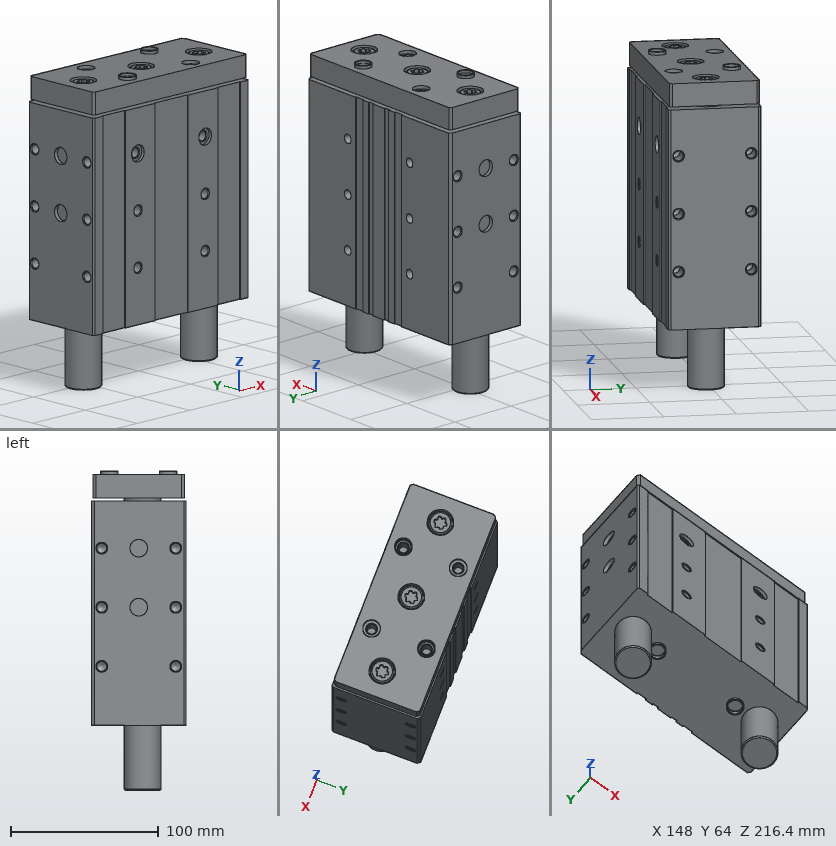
import cadquery as cq
import math


housing_length = 148.0
housing_depth = 64.0
housing_height = 152.0
housing_front_corner = (1.0, 1.5)
housing_rear_corner = (1.7, 2.2)
step_depth = 0.9
front_inner_step = 15.8
front_middle_step = 44.1
front_outer_step = 65.5
rear_slots = [(5.8, 10.4), (16.2, 23.8)]

row_pitch = 40.0
row_count = 3
first_row_drop = 32.0
first_row_z = housing_height - first_row_drop
row_heights = [first_row_z - row * row_pitch for row in range(row_count)]
thread_diameter = 6.7
thread_bevel = 0.6
drill_angle = 118.0
front_hole_x = 32.0
front_recess_diameter = 12.0
front_recess_depth = 2.4
side_hole_y = 25.0
side_hole_depth = 13.0
port_count = 2
port_diameter = 12.0
port_depth = 2.8

rod_y = -2.5
guide_rod_x = 55.0
guide_rod_diameter = 25.0
guide_rod_overhang = 44.0
guide_rod_chamfer = 0.9
piston_rod_diameter = 14.7
piston_rod_reach = 86.5
piston_rod_end = housing_height - piston_rod_reach

plate_gap = 2.0
plate_length = 146.2
plate_depth = 62.0
plate_height = 16.0
plate_corner = (1.5, 2.0)
plate_z = housing_height + plate_gap
plate_top = plate_z + plate_height
plate_hole_x = 30.0
plate_hole_y = 20.0

screw_recess_diameter = 18.0
screw_head_diameter = 16.0
screw_recess_depth = 8.7
screw_head_height = 7.8
screw_head_chamfer = 1.0
socket_tip_diameter = 9.0
socket_root_diameter = 6.7
socket_lobe_width = 2.5
socket_lobe_angles = (30, 90, 150)
socket_depth = 3.2

sleeve_diameter = 12.0
sleeve_bore = 10.4
sleeve_chamfer = 0.32
sleeve_protrusion = 2.4
sleeve_seat = 2.4
sleeve_length = sleeve_seat + sleeve_protrusion
bottom_sleeve_x = 33.7


def cylinder(diameter, bottom, top, x=0.0, y=0.0):
    return cq.Workplane("XY", origin=(x, y, bottom)).circle(diameter / 2).extrude(top - bottom)


def threaded_hole(depth):
    """Tool for a hole down from Z = 0 with a bevelled mouth and a flat end."""
    mouth_radius = thread_diameter / 2 + thread_bevel
    bevel = cq.Solid.makeCone(mouth_radius, thread_diameter / 2, thread_bevel, dir=cq.Vector(0, 0, -1))
    return cylinder(thread_diameter, -depth, 0).union(cq.Workplane(bevel))


def blind_threaded_hole(depth):
    """The same tool with the cone of a drill at its end."""
    radius = thread_diameter / 2
    tip_length = radius / math.tan(math.radians(drill_angle / 2))
    tip = cq.Solid.makeCone(radius, 0, tip_length, cq.Vector(0, 0, -depth), cq.Vector(0, 0, -1))
    return threaded_hole(depth).union(cq.Workplane(tip))


def on_front(tool, x, z):
    """Turn a tool that cuts down from Z = 0 so that it cuts into the front face."""
    return tool.rotate((0, 0, 0), (1, 0, 0), 90).translate((x, -housing_depth / 2, z))


def on_left_side(tool, y, z):
    """Turn a tool that cuts down from Z = 0 so that it cuts into the -X side."""
    return tool.rotate((0, 0, 0), (0, 1, 0), -90).translate((-housing_length / 2, y, z))


def chamfered_block(length, depth, height, front_corner, rear_corner):
    """Block standing on Z = 0, centred in X and Y, with its upright edges chamfered."""
    side = length / 2
    face = depth / 2
    front_x, front_y = front_corner
    rear_x, rear_y = rear_corner
    profile = [
        (-side, front_y - face),
        (front_x - side, -face),
        (side - front_x, -face),
        (side, front_y - face),
        (side, face - rear_y),
        (side - rear_x, face),
        (rear_x - side, face),
        (-side, face - rear_y),
    ]
    return cq.Workplane("XY").polyline(profile).close().extrude(height)


def housing_blank():
    """Housing block with its stepped front and slotted rear."""
    blank = chamfered_block(
        housing_length, housing_depth, housing_height, housing_front_corner, housing_rear_corner
    )
    face = housing_depth / 2
    mirrored_strips = [(front_middle_step, front_outer_step, -face)]
    mirrored_strips += [(start, end, face - step_depth) for start, end in rear_slots]
    strips = [(-front_inner_step, front_inner_step, -face)]
    for start, end, y in mirrored_strips:
        strips += [(start, end, y), (-end, -start, y)]
    for start, end, y in strips:
        strip = cq.Workplane("XY").box(end - start, step_depth, housing_height, centered=False)
        blank = blank.cut(strip.translate((start, y, 0)))
    return blank


def cut_front_holes(body):
    for x in (-front_hole_x, front_hole_x):
        recess = cylinder(front_recess_diameter, -front_recess_depth, 0)
        body = body.cut(on_front(recess, x, first_row_z))
        recessed_hole = threaded_hole(housing_depth).translate((0, 0, -front_recess_depth))
        body = body.cut(on_front(recessed_hole, x, first_row_z))
        for z in row_heights[1:]:
            body = body.cut(on_front(threaded_hole(housing_depth), x, z))
    return body


def cut_side_holes(body):
    for z in row_heights:
        for y in (-side_hole_y, side_hole_y):
            hole = on_left_side(blind_threaded_hole(side_hole_depth), y, z)
            body = body.cut(hole).cut(hole.mirror("YZ"))
    for z in row_heights[:port_count]:
        body = body.cut(on_left_side(cylinder(port_diameter, -port_depth, 0), 0, z))
    return body


def cut_rod_and_sleeve_seats(body):
    for x in (-guide_rod_x, guide_rod_x):
        body = body.cut(cylinder(guide_rod_diameter, 0, housing_height, x, rod_y))
    for x in (-bottom_sleeve_x, bottom_sleeve_x):
        body = body.cut(cylinder(sleeve_diameter, 0, sleeve_seat, x, rod_y))
    return body.cut(cylinder(piston_rod_diameter, piston_rod_end, housing_height, 0, rod_y))


def build_housing():
    body = cut_front_holes(housing_blank())
    body = cut_side_holes(body)
    return cut_rod_and_sleeve_seats(body)


def screw_head(x):
    """Round head with a six-lobed socket, each slot across it making two opposite lobes."""
    bottom = plate_top - screw_recess_depth
    top = bottom + screw_head_height
    head = cylinder(screw_head_diameter, bottom, top, x, rod_y).faces(">Z").chamfer(screw_head_chamfer)
    head = head.cut(cylinder(socket_root_diameter, top - socket_depth, top, x, rod_y))
    socket_floor = cq.Workplane("XY", origin=(x, rod_y, top - socket_depth))
    for angle in socket_lobe_angles:
        lobe_pair = socket_floor.slot2D(socket_tip_diameter, socket_lobe_width, angle)
        head = head.cut(lobe_pair.extrude(socket_depth))
    return head


def build_yoke():
    """Yoke plate with its screw heads and the piston rod that carries it."""
    plate = chamfered_block(plate_length, plate_depth, plate_height, plate_corner, plate_corner)
    plate = plate.translate((0, 0, plate_z))
    seat_z = plate_top - sleeve_seat
    for x in (-plate_hole_x, plate_hole_x):
        for y in (-plate_hole_y, plate_hole_y):
            plate = plate.cut(threaded_hole(plate_height).translate((x, y, seat_z)))
            plate = plate.cut(cylinder(sleeve_diameter, seat_z, plate_top, x, y))
    recess_floor = plate_top - screw_recess_depth
    for x in (-guide_rod_x, 0, guide_rod_x):
        plate = plate.cut(cylinder(screw_recess_diameter, recess_floor, plate_top, x, rod_y))
        plate = plate.union(screw_head(x))
    return plate.union(cylinder(piston_rod_diameter, piston_rod_end, plate_z, 0, rod_y))


def guide_rod(x):
    rod = cylinder(guide_rod_diameter, -guide_rod_overhang, plate_z, x, rod_y)
    return rod.faces("<Z").chamfer(guide_rod_chamfer)


def sleeve(x, y, bottom):
    top = bottom + sleeve_length
    ring = cylinder(sleeve_diameter, bottom, top, x, y).cut(cylinder(sleeve_bore, bottom, top, x, y))
    return ring.faces("<Z or >Z").chamfer(sleeve_chamfer)


housing = build_housing()
yoke = build_yoke()
guide_rods = [guide_rod(x) for x in (-guide_rod_x, guide_rod_x)]
plate_sleeves = [
    sleeve(side * plate_hole_x, side * plate_hole_y, plate_top - sleeve_seat) for side in (-1, 1)
]
housing_sleeves = [sleeve(x, rod_y, -sleeve_protrusion) for x in (-bottom_sleeve_x, bottom_sleeve_x)]

bodies = [housing, yoke, *guide_rods, *plate_sleeves, *housing_sleeves]
result = cq.Compound.makeCompound([body.val() for body in bodies])